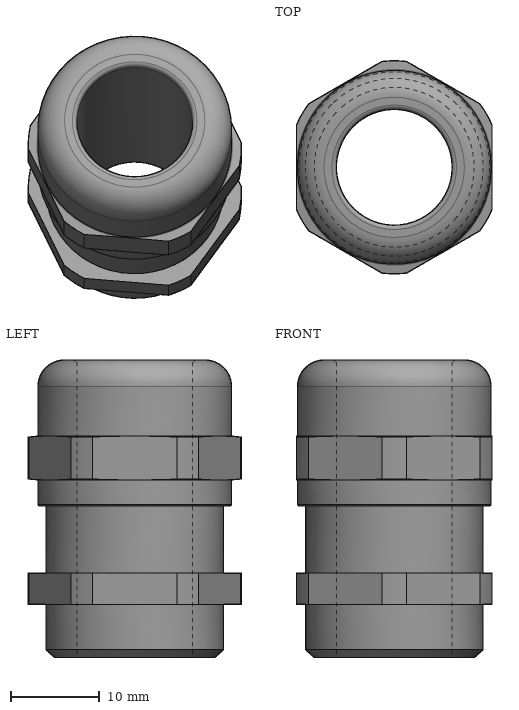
import cadquery as cq

TOTAL_HEIGHT = 33.5
LOCKNUT_BOTTOM = 6.0
LOCKNUT_TOP = 9.5
COLLAR_BOTTOM = 17.05
CAP_HEX_BOTTOM = 20.0
CAP_HEX_TOP = 24.92

BODY_DIAMETER = 20.0
CAP_DIAMETER = 21.8
BORE_DIAMETER = 13.0
BODY_CHAMFER_HEIGHT = 0.9
BODY_CHAMFER_WIDTH = 1.0
COLLAR_CHAMFER = 0.17
CAP_ROUNDING = 3.0
MOUTH_ROUNDING = 0.5

HEX_ACROSS_FLATS = 22.0
HEX_ACROSS_CORNERS = 24.0
CORNER_DROP = 0.1


def cylinder(diameter, bottom, top):
    return cq.Workplane("XY").workplane(offset=bottom).circle(diameter / 2).extrude(top - bottom)


def nut(bottom, top):
    """Hexagon with flats facing +X and -X, its six corners turned down to a cylinder."""
    hexagon = cq.Workplane("XY").workplane(offset=bottom).polygon(6, HEX_ACROSS_FLATS, circumscribed=True)
    prism = hexagon.extrude(top - bottom)
    return prism.intersect(cylinder(HEX_ACROSS_CORNERS, bottom, top))


body = cylinder(BODY_DIAMETER, 0, COLLAR_BOTTOM).faces("<Z")
body = body.edges().chamfer(BODY_CHAMFER_HEIGHT, BODY_CHAMFER_WIDTH)
locknut = nut(LOCKNUT_BOTTOM, LOCKNUT_TOP)

cap = cylinder(CAP_DIAMETER, COLLAR_BOTTOM, TOTAL_HEIGHT).faces(">Z").edges().fillet(CAP_ROUNDING)
cap = cap.faces("<Z").edges().chamfer(COLLAR_CHAMFER)
cap_hex_envelope = cylinder(HEX_ACROSS_CORNERS, CAP_HEX_BOTTOM, CAP_HEX_TOP)
cone_width = (HEX_ACROSS_CORNERS - HEX_ACROSS_FLATS) / 2
cap_hex_envelope = cap_hex_envelope.faces("<Z or >Z").edges().chamfer(CORNER_DROP, cone_width)
cap_hex = nut(CAP_HEX_BOTTOM, CAP_HEX_TOP).intersect(cap_hex_envelope)

bore = cylinder(BORE_DIAMETER, 0, TOTAL_HEIGHT)
gland = body.union(locknut).union(cap).union(cap_hex).cut(bore)
mouth_edge = cq.selectors.RadiusNthSelector(0)
result = gland.faces(">Z").edges(mouth_edge).fillet(MOUTH_ROUNDING)